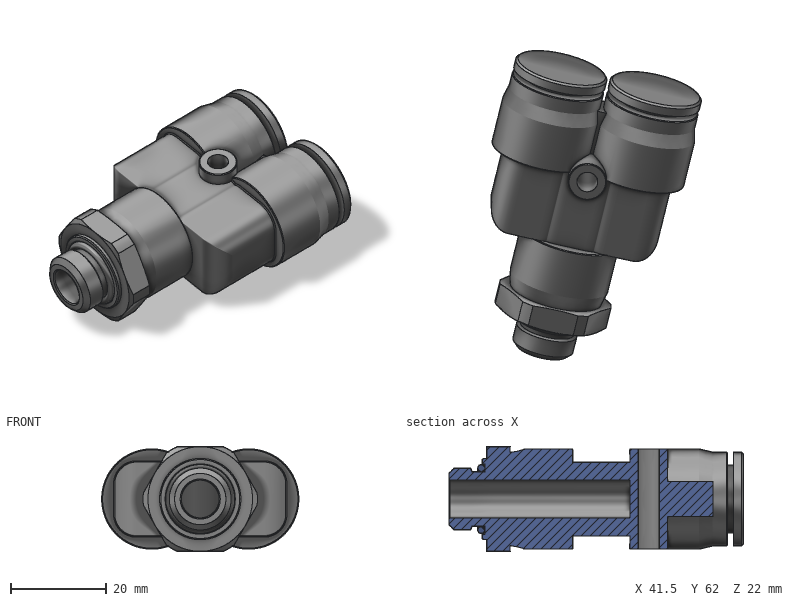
import cadquery as cq
import math


thread_radius = 6.5
thread_chamfer = 1.1
thread_top = 4.6
neck_radius = 5.75
neck_start = 4.9
collar_radius = 8.55
collar_face = 7.0
collar_chamfer = 0.25
bore_radius = 3.95
bore_chamfer = 0.25

hex_bottom = 7.95
hex_top = 12.95
hex_across_flats = 22.0
hex_corner_radius = 12.0
hex_lower_bevel = 0.4
hex_upper_bevel = 0.2

sleeve_radius = 10.55
sleeve_small_radius = 9.85
stub_cone_top = 16.0
edge_chamfer = 0.2

overall_width = 41.5
port_offset = overall_width / 2 - sleeve_radius
lobe_size = 15.55
lobe_half = lobe_size / 2
lobe_round = 4.6
block_bottom = 26.1
block_top = 42.5
block_edge_round = 0.2
crease_round = 0.2
root_flare = 0.25
root_flare_angle = 45

port_cone_start = 52.65
port_cone_end = 55.55
port_head_end = 58.6
flange_start = 59.8
port_end = 62.0
port_neck_radius = 7.2
flange_chamfer = 0.45
web_radius = 3.7

post_y = 42.05
post_radius = 4.0
post_hole_radius = 2.2
post_chamfer = 0.2

seal_wire_radius = 0.75
seal_gap = 0.1
seal_sink = 0.2
seal_center_radius = neck_radius + seal_wire_radius
seal_y = collar_face - seal_sink
groove_radius = seal_center_radius + seal_wire_radius + seal_gap
groove_bottom = seal_y + seal_wire_radius


def turned(profile, x=0.0):
    """Solid of revolution about the line parallel to Y through x, from (radius, y) points."""
    outline = cq.Workplane("XY").polyline(profile).close()
    return outline.revolve(360, (0, 0, 0), (0, 1, 0)).translate((x, 0, 0))


def make_stem():
    """Thread, neck, collar with seal groove, up to the underside of the hexagon."""
    return turned([
        (0, 0),
        (thread_radius - thread_chamfer, 0),
        (thread_radius, thread_chamfer),
        (thread_radius, thread_top),
        (neck_radius, neck_start),
        (neck_radius, groove_bottom),
        (groove_radius, groove_bottom),
        (groove_radius, collar_face),
        (collar_radius - collar_chamfer, collar_face),
        (collar_radius, collar_face + collar_chamfer),
        (collar_radius, hex_bottom),
        (0, hex_bottom),
    ])


def make_hexagon():
    """Hexagon with flats on +-Z, corners turned down and both faces bevelled."""
    flat_radius = hex_across_flats / 2
    prism = (
        cq.Workplane("XZ", origin=(0, hex_bottom, 0))
        .polygon(6, hex_across_flats / math.cos(math.pi / 6))
        .extrude(hex_bottom - hex_top)
    )
    envelope = turned([
        (0, hex_bottom),
        (flat_radius, hex_bottom),
        (hex_corner_radius, hex_bottom + hex_lower_bevel),
        (hex_corner_radius, hex_top - hex_upper_bevel),
        (flat_radius, hex_top),
        (0, hex_top),
    ])
    return prism.intersect(envelope)


def make_stub():
    """Round sleeve between the hexagon and the block."""
    return turned([
        (0, hex_top),
        (sleeve_small_radius, hex_top),
        (sleeve_radius, stub_cone_top),
        (sleeve_radius, block_bottom - edge_chamfer),
        (sleeve_radius - edge_chamfer, block_bottom),
        (0, block_bottom),
    ])


def make_lobe(x):
    """Rounded-square bar along Y."""
    return (
        cq.Workplane("XZ", origin=(x, block_bottom, 0))
        .rect(lobe_size, lobe_size)
        .extrude(block_bottom - block_top)
        .edges("|Y")
        .fillet(lobe_round)
    )


def make_lobe_flare(x):
    """Conical flare around a lobe where it meets the lower faces of the port sleeves."""
    outline = cq.Sketch().rect(lobe_size, lobe_size).vertices().fillet(lobe_round)
    return (
        cq.Workplane("XZ", origin=(x, block_top - root_flare, 0))
        .placeSketch(outline)
        .extrude(-root_flare, taper=-root_flare_angle)
    )


def is_crease(edge):
    """True for the edges along Y that lie midway between two neighbouring lobes."""
    return abs(abs(edge.Center().x) - port_offset / 2) < crease_round


def make_block():
    """Three merged lobes with rounded lower corners, edges and creases, and a flared root."""
    lobes = make_lobe(0)
    for x in (-port_offset, port_offset):
        lobes = lobes.union(make_lobe(x))
    outline = (
        cq.Workplane("XY", origin=(0, 0, -lobe_half))
        .center(0, (block_bottom + block_top) / 2)
        .rect(2 * port_offset + lobe_size, block_top - block_bottom)
        .extrude(lobe_size)
        .edges("|Z and <Y")
        .fillet(lobe_round)
    )
    block = lobes.intersect(outline)
    block = block.edges("|Y").filter(is_crease).fillet(crease_round)
    block = block.faces("<Y").edges("not |Z").fillet(block_edge_round)
    for x in (-port_offset, 0, port_offset):
        block = block.union(make_lobe_flare(x))
    return block


def make_port(x):
    """Port sleeve with its head and the release flange."""
    return turned([
        (0, block_top),
        (sleeve_radius - edge_chamfer, block_top),
        (sleeve_radius, block_top + edge_chamfer),
        (sleeve_radius, port_cone_start),
        (sleeve_small_radius, port_cone_end),
        (sleeve_small_radius, port_head_end - edge_chamfer),
        (sleeve_small_radius - edge_chamfer, port_head_end),
        (port_neck_radius, port_head_end),
        (port_neck_radius, flange_start),
        (sleeve_small_radius, flange_start),
        (sleeve_small_radius, port_end - flange_chamfer),
        (sleeve_small_radius - flange_chamfer, port_end),
        (0, port_end),
    ], x)


def make_web():
    """Round web filling the gap between the two port sleeves."""
    return turned([
        (0, block_top),
        (web_radius, block_top),
        (web_radius, port_cone_end),
        (0, port_cone_end),
    ])


def make_post():
    """Round post across the whole fitting along Z."""
    return (
        cq.Workplane("XY", origin=(0, post_y, -sleeve_radius))
        .circle(post_radius)
        .extrude(2 * sleeve_radius)
        .faces("|Z")
        .edges()
        .chamfer(post_chamfer)
    )


def make_post_hole():
    """Mounting hole through the cross post."""
    return (
        cq.Workplane("XY", origin=(0, post_y, -sleeve_radius))
        .circle(post_hole_radius)
        .extrude(2 * sleeve_radius)
    )


def make_bore():
    """Flow bore from the threaded end, reaching to the axis of the cross post."""
    return turned([
        (0, 0),
        (bore_radius + bore_chamfer, 0),
        (bore_radius, bore_chamfer),
        (bore_radius, post_y),
        (0, post_y),
    ])


def make_fitting():
    """Y-shaped fitting, with the bore ending at the round wall of the cross post."""
    fitting = make_stem().union(make_hexagon()).union(make_stub()).union(make_block())
    for x in (-port_offset, port_offset):
        fitting = fitting.union(make_port(x))
    fitting = fitting.union(make_web()).cut(make_bore()).union(make_post())
    return fitting.cut(make_post_hole())


def make_seal_ring():
    """Round-section ring seated on the neck and in the collar groove."""
    return (
        cq.Workplane("XY")
        .center(seal_center_radius, seal_y)
        .circle(seal_wire_radius)
        .revolve(360, (-seal_center_radius, 0, 0), (-seal_center_radius, 1, 0))
    )


fitting = make_fitting()
seal_ring = make_seal_ring()
result = cq.Compound.makeCompound([fitting.val(), seal_ring.val()])